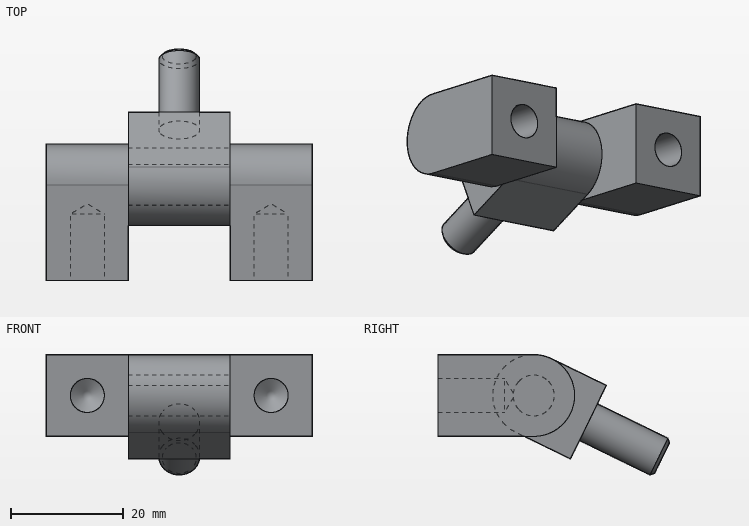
import cadquery as cq
import math

TOTAL_WIDTH = 47.1
KNUCKLE_WIDTH = 18.0
THICKNESS = 14.5
BLOCK_LENGTH = 16.95
PIN_DIAMETER = 7.25
HOLE_DIAMETER = 6.05
HOLE_DEPTH = 11.8
DRILL_POINT_ANGLE = 118.0
KNUCKLE_LENGTH = 10.8
STUD_DIAMETER = 7.25
STUD_REACH = 25.3
STUD_CHAMFER = 0.6
TILT_ANGLE = 26.0

radius = THICKNESS / 2
cheek_width = (TOTAL_WIDTH - KNUCKLE_WIDTH) / 2
cheek_center = (KNUCKLE_WIDTH + cheek_width) / 2
hole_radius = HOLE_DIAMETER / 2
drill_tip = hole_radius / math.tan(math.radians(DRILL_POINT_ANGLE / 2))


def rounded_block(width, end_y):
    """Block centred on X, rounded about the pivot and ending flat at end_y."""
    back_y = -math.copysign(radius, end_y)
    return (
        cq.Workplane("YZ")
        .moveTo(end_y, -radius)
        .lineTo(0, -radius)
        .threePointArc((back_y, 0), (0, radius))
        .lineTo(end_y, radius)
        .close()
        .extrude(width / 2, both=True)
    )


def pivot_cylinder():
    """Cylinder along the pivot axis, as long as the knuckle is wide."""
    return cq.Workplane("YZ").circle(PIN_DIAMETER / 2).extrude(KNUCKLE_WIDTH / 2, both=True)


def blind_hole():
    """Drilled hole with a conical bottom, entering the front face along +Y."""
    bottom_y = HOLE_DEPTH - BLOCK_LENGTH
    return (
        cq.Workplane("XY")
        .moveTo(0, -BLOCK_LENGTH)
        .lineTo(hole_radius, -BLOCK_LENGTH)
        .lineTo(hole_radius, bottom_y)
        .lineTo(0, bottom_y + drill_tip)
        .close()
        .revolve(360, (0, 0), (0, 1))
    )


def make_fork():
    """Two drilled cheeks joined by the pivot pin."""
    fork = pivot_cylinder()
    for side in (-1, 1):
        cheek = rounded_block(cheek_width, -BLOCK_LENGTH).cut(blind_hole())
        fork = fork.union(cheek.translate((side * cheek_center, 0, 0)))
    return fork


def make_knuckle():
    """Swinging block with a bore for the pin and a chamfered stud."""
    stud = (
        cq.Workplane("XZ", origin=(0, KNUCKLE_LENGTH, 0))
        .circle(STUD_DIAMETER / 2)
        .extrude(KNUCKLE_LENGTH - STUD_REACH)
        .faces(">Y")
        .chamfer(STUD_CHAMFER)
    )
    knuckle = rounded_block(KNUCKLE_WIDTH, KNUCKLE_LENGTH).cut(pivot_cylinder()).union(stud)
    return knuckle.rotate((0, 0, 0), (1, 0, 0), -TILT_ANGLE)


fork = make_fork()
knuckle = make_knuckle()
result = cq.Compound.makeCompound([fork.val(), knuckle.val()])